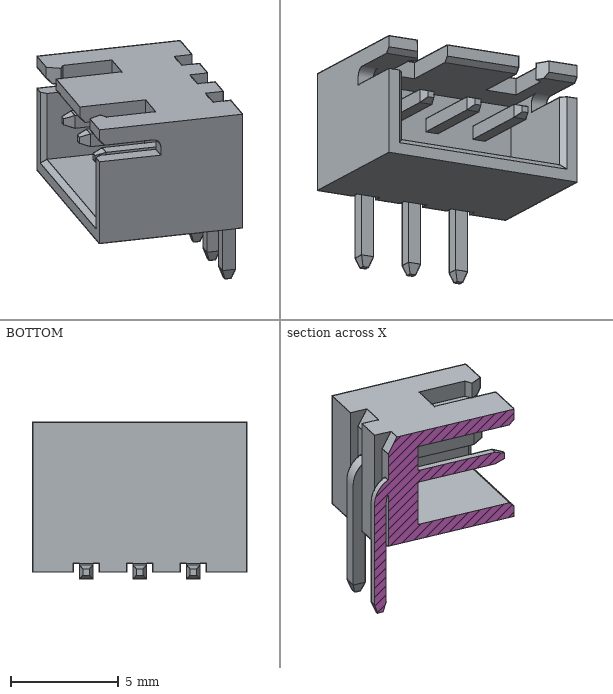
import cadquery as cq
import math


body_width = 10.01
body_depth = 7.0
body_height = 5.7
wall = 0.8
cavity_depth = 5.0
mouth_chamfer = 0.25

side_slot_depth = 3.0
side_slot_height = 0.8
side_slot_radius = 0.4

latch_inner = 1.9
latch_outer = 3.5
latch_depth = 3.2
barb_reach = 0.35
barb_tip_y = 0.61
barb_root_y = 0.81

pin_count = 3
pin_pitch = 2.5
pin_size = 0.64
pin_tip_size = 0.3
pin_tip_length = 0.5
pin_tip_y = 0.5
pin_center_z = 3.33
leg_drop = 3.4
bend_inner_radius = 0.64

notch_width = 1.2
notch_depth = 0.4
notch_slope_height = 0.8
notch_slope_angle = 30.0

notch_top_depth = notch_depth + notch_slope_height * math.tan(math.radians(notch_slope_angle))
roof_bottom = body_height - wall
cavity_width = body_width - 2 * wall
cavity_height = roof_bottom - wall
cavity_center_z = wall + cavity_height / 2
bend_outer_radius = bend_inner_radius + pin_size
pin_tip_taper = math.degrees(math.atan((pin_size - pin_tip_size) / 2 / pin_tip_length))
pin_positions = [(i - (pin_count - 1) / 2) * pin_pitch for i in range(pin_count)]


def make_cavity():
    """Mating cavity with a 45 degree flare at its mouth."""
    opening = cq.Workplane("XZ").center(0, cavity_center_z)
    pocket = opening.rect(cavity_width, cavity_height).extrude(-cavity_depth)
    flare = opening.rect(
        cavity_width + 2 * mouth_chamfer, cavity_height + 2 * mouth_chamfer
    ).extrude(-mouth_chamfer, taper=45)
    return pocket.union(flare)


def make_side_slot():
    """Slot across the full width, with a rounded upper inner corner and a chamfered roof lip."""
    slot_bottom = roof_bottom - side_slot_height
    return (
        cq.Workplane("YZ")
        .moveTo(0, slot_bottom)
        .lineTo(side_slot_depth, slot_bottom)
        .lineTo(side_slot_depth, roof_bottom - side_slot_radius)
        .radiusArc((side_slot_depth - side_slot_radius, roof_bottom), -side_slot_radius)
        .lineTo(mouth_chamfer, roof_bottom)
        .lineTo(0, roof_bottom + mouth_chamfer)
        .close()
        .extrude(body_width / 2, both=True)
    )


def make_latch_slot():
    """Roof slot on the +X side, narrowed near the front by a pointed barb."""
    return (
        cq.Workplane("XY", origin=(0, 0, roof_bottom))
        .polyline([
            (latch_inner, 0),
            (latch_inner, latch_depth),
            (latch_outer, latch_depth),
            (latch_outer, barb_root_y),
            (latch_outer - barb_reach, barb_tip_y),
            (latch_outer, 0),
        ])
        .close()
        .extrude(wall)
    )


def make_notch(x):
    """Full-height rear notch whose end wall slopes inward at the top."""
    return (
        cq.Workplane("YZ", origin=(x, 0, 0))
        .polyline([
            (body_depth, 0),
            (body_depth - notch_depth, 0),
            (body_depth - notch_depth, body_height - notch_slope_height),
            (body_depth - notch_top_depth, body_height),
            (body_depth, body_height),
        ])
        .close()
        .extrude(notch_width / 2, both=True)
    )


def make_pin(x):
    """Square pin: forward contact, 90 degree bend at the rear face, leg down, tapered ends."""
    half = pin_size / 2
    contact_end_y = pin_tip_y + pin_tip_length
    leg_end_z = pin_tip_length - leg_drop
    bend_y = body_depth + half - bend_outer_radius
    bend_z = pin_center_z + half - bend_outer_radius
    bar = (
        cq.Workplane("YZ", origin=(x, 0, 0))
        .moveTo(contact_end_y, pin_center_z + half)
        .lineTo(bend_y, pin_center_z + half)
        .radiusArc((body_depth + half, bend_z), bend_outer_radius)
        .lineTo(body_depth + half, leg_end_z)
        .lineTo(body_depth - half, leg_end_z)
        .lineTo(body_depth - half, bend_z)
        .radiusArc((bend_y, pin_center_z - half), -bend_inner_radius)
        .lineTo(contact_end_y, pin_center_z - half)
        .close()
        .extrude(half, both=True)
    )
    contact_tip = (
        cq.Workplane("XZ", origin=(x, contact_end_y, pin_center_z))
        .rect(pin_size, pin_size)
        .extrude(pin_tip_length, taper=pin_tip_taper)
    )
    leg_tip = (
        cq.Workplane("XY", origin=(x, body_depth, leg_end_z))
        .rect(pin_size, pin_size)
        .extrude(-pin_tip_length, taper=pin_tip_taper)
    )
    return bar.union(contact_tip).union(leg_tip)


shroud = cq.Workplane("XY").box(body_width, body_depth, body_height, centered=(True, False, False))
shroud = shroud.cut(make_cavity()).cut(make_side_slot())

latch_slot = make_latch_slot()
shroud = shroud.cut(latch_slot).cut(latch_slot.mirror("YZ"))

for pin_x in pin_positions:
    shroud = shroud.cut(make_notch(pin_x))

result = shroud
for pin_x in pin_positions:
    result = result.union(make_pin(pin_x))